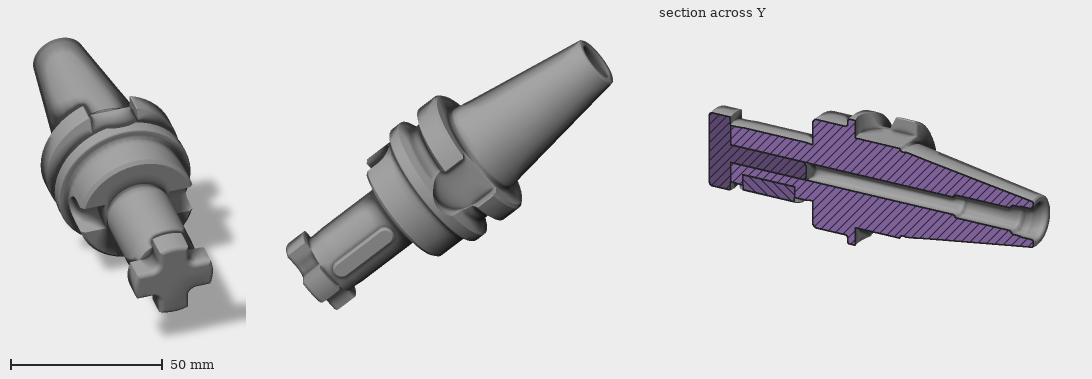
import cadquery as cq


taper_start = 0.0
taper_end = 48.6
flange_start = 50.2
groove_start = 57.9
groove_floor_start = 60.1
groove_floor_end = 63.8
groove_end = 66.0
flange_end = 70.1
collar_end = 83.4
pilot_end = 114.3
overall_length = 122.4

taper_ratio = 7 / 24
taper_large_radius = 15.9
taper_chamfer = 0.5
neck_radius = 15.7
neck_fillet = 0.6

flange_radius = 23.0
flange_chamfer = 1.0
flange_rear_fillet = 0.7
groove_floor_radius = 18.8
groove_fillet = 0.7
collar_radius = 20.1
collar_fillet = 1.0
collar_chamfer = 1.1

pilot_radius = 11.0
relief_radius = 10.8
relief_width = 0.9
relief_slope = 1.2
lead_start = 109.0
lead_end = 113.1
lead_radius = 10.8

bore_mouth_fillet = 1.0
bore_radius = 6.2
bore_depth = 4.8
thread_mouth_start = 5.6
thread_mouth_end = 8.0
thread_mouth_radius = 6.0
thread_radius = 5.0
thread_depth = 29.4

flange_slot_half_width = 8.1
flange_slot_floor = 16.4
flange_slot_end = 67.7
flange_slot_chamfer = 0.4
collar_slot_half_width = 5.0
collar_slot_floor = 10.9
collar_slot_start = 72.6

key_start = 87.6
key_length = 24.5
key_width = 6.0
key_bottom = -12.7
key_height = 6.0
key_chamfer = 0.6

screw_radius = 4.3
screw_start = 85.7
screw_tip_chamfer = 0.7
head_radius = 13.7
head_fillet = 1.5
lobe_half_width = 5.0
lobe_fillet = 2.9


def revolve_about_x(outline):
    """Turn a closed (x, radius) outline around the X axis."""
    return outline.close().revolve(360, (0, 0, 0), (1, 0, 0))


def make_arbor_blank():
    def taper_radius(x):
        return taper_large_radius - (taper_end - x) * taper_ratio / 2

    relief_end = collar_end + relief_width
    outline = (
        cq.Workplane("XY")
        .moveTo(taper_start, 0)
        .lineTo(taper_start, taper_radius(taper_start) - taper_chamfer)
        .lineTo(taper_start + taper_chamfer, taper_radius(taper_start + taper_chamfer))
        .lineTo(taper_end, taper_large_radius)
        .lineTo(taper_end, neck_radius)
        .lineTo(flange_start - neck_fillet, neck_radius)
        .radiusArc((flange_start, neck_radius + neck_fillet), -neck_fillet)
        .lineTo(flange_start, flange_radius - flange_chamfer)
        .lineTo(flange_start + flange_chamfer, flange_radius)
        .lineTo(groove_start, flange_radius)
        .lineTo(groove_floor_start, groove_floor_radius)
        .lineTo(groove_floor_end, groove_floor_radius)
        .lineTo(groove_end, flange_radius)
        .lineTo(flange_end - flange_rear_fillet, flange_radius)
        .radiusArc((flange_end, flange_radius - flange_rear_fillet), flange_rear_fillet)
        .lineTo(flange_end, collar_radius + collar_fillet)
        .radiusArc((flange_end + collar_fillet, collar_radius), -collar_fillet)
        .lineTo(collar_end - collar_chamfer, collar_radius)
        .lineTo(collar_end, collar_radius - collar_chamfer)
        .lineTo(collar_end, relief_radius)
        .lineTo(relief_end, relief_radius)
        .lineTo(relief_end + relief_slope, pilot_radius)
        .lineTo(lead_start, pilot_radius)
        .lineTo(lead_end, lead_radius)
        .lineTo(pilot_end, lead_radius)
        .lineTo(pilot_end, 0)
    )
    groove_corners = cq.selectors.BoxSelector(
        (groove_floor_start - groove_fillet, -flange_radius, -flange_radius),
        (groove_floor_end + groove_fillet, flange_radius, flange_radius),
    )
    return revolve_about_x(outline).edges(groove_corners).edges("%CIRCLE").fillet(groove_fillet)


def make_bore():
    """Draw-bar bore with a rounded mouth and thread core, then the screw hole to the pilot end."""
    outline = (
        cq.Workplane("XY")
        .moveTo(taper_start, 0)
        .lineTo(taper_start, bore_radius + bore_mouth_fillet)
        .radiusArc((taper_start + bore_mouth_fillet, bore_radius), -bore_mouth_fillet)
        .lineTo(bore_depth, bore_radius)
        .lineTo(thread_mouth_start, thread_mouth_radius)
        .lineTo(thread_mouth_end, thread_mouth_radius)
        .lineTo(thread_mouth_end + thread_mouth_radius - thread_radius, thread_radius)
        .lineTo(thread_depth, thread_radius)
        .lineTo(thread_depth + thread_radius - screw_radius, screw_radius)
        .lineTo(pilot_end, screw_radius)
        .lineTo(pilot_end, 0)
    )
    return revolve_about_x(outline)


def make_flange_slot():
    """Round-ended slot above the axis, open to the taper side, widened by a chamfer at the flange face."""
    depth = flange_radius - flange_slot_floor
    arc_centre = flange_slot_end - flange_slot_half_width
    slot = (
        cq.Workplane("XY", origin=(0, 0, flange_slot_floor))
        .moveTo(flange_start, -flange_slot_half_width)
        .lineTo(arc_centre, -flange_slot_half_width)
        .threePointArc((flange_slot_end, 0), (arc_centre, flange_slot_half_width))
        .lineTo(flange_start, flange_slot_half_width)
        .close()
        .extrude(depth)
    )
    wide = flange_slot_half_width + flange_slot_chamfer
    mouth = (
        cq.Workplane("YZ", origin=(flange_start, 0, 0))
        .moveTo(0, flange_radius)
        .rect(2 * wide, 2 * (depth + flange_slot_chamfer))
        .workplane(offset=flange_slot_chamfer)
        .moveTo(0, flange_radius)
        .rect(2 * flange_slot_half_width, 2 * depth)
        .loft(ruled=True)
    )
    return slot.union(mouth)


def make_collar_slot():
    """Round-ended slot on the -Y side of the collar, open to the pilot side."""
    arc_centre = collar_slot_start + collar_slot_half_width
    return (
        cq.Workplane("XZ", origin=(0, -collar_slot_floor, 0))
        .moveTo(collar_end, -collar_slot_half_width)
        .lineTo(arc_centre, -collar_slot_half_width)
        .threePointArc((collar_slot_start, 0), (arc_centre, collar_slot_half_width))
        .lineTo(collar_end, collar_slot_half_width)
        .close()
        .extrude(collar_radius - collar_slot_floor)
    )


def make_key():
    key_centre = key_start + key_length / 2
    return (
        cq.Workplane("XY", origin=(key_centre, 0, key_bottom))
        .slot2D(key_length, key_width)
        .extrude(key_height)
        .faces("<Z")
        .chamfer(key_chamfer)
    )


def make_screw():
    """Screw with a cross-shaped head: four lobes joined by concave fillets."""
    shank = (
        cq.Workplane("YZ", origin=(screw_start, 0, 0))
        .circle(screw_radius)
        .extrude(pilot_end - screw_start)
        .faces("<X")
        .chamfer(screw_tip_chamfer)
    )
    head_length = overall_length - pilot_end
    plane = cq.Workplane("YZ", origin=(pilot_end, 0, 0))
    lobe_span = 2 * head_radius
    cross = (
        plane.rect(lobe_span, 2 * lobe_half_width)
        .extrude(head_length)
        .union(plane.rect(2 * lobe_half_width, lobe_span).extrude(head_length))
    )
    inner_limit = (lobe_half_width + head_radius) / 2
    cross = cross.edges(
        cq.selectors.BoxSelector(
            (pilot_end, -inner_limit, -inner_limit),
            (overall_length, inner_limit, inner_limit),
        )
    ).edges("|X").fillet(lobe_fillet)
    head = cross.intersect(plane.circle(head_radius).extrude(head_length))
    head = head.faces(">X").edges().fillet(head_fillet)
    return shank.union(head)


def break_flange_slot_edges(arbor):
    """Chamfer the straight edges where the flange slots meet the flange rim."""
    wide = flange_slot_half_width + flange_slot_chamfer
    for low, high in ((flange_slot_floor, flange_radius), (-flange_radius, -flange_slot_floor)):
        slot_region = cq.selectors.BoxSelector(
            (flange_start + flange_chamfer, -wide, low), (groove_start, wide, high)
        )
        rim_edges = arbor.edges(slot_region).edges("|X").edges(">Z" if low > 0 else "<Z")
        arbor = rim_edges.chamfer(flange_slot_chamfer)
    return arbor


def make_arbor():
    arbor = make_arbor_blank().cut(make_bore())
    for half_turn in (0, 180):
        arbor = arbor.cut(make_flange_slot().rotate((0, 0, 0), (1, 0, 0), half_turn))
        arbor = arbor.cut(make_collar_slot().rotate((0, 0, 0), (1, 0, 0), half_turn))
    return break_flange_slot_edges(arbor).cut(make_key())


arbor = make_arbor()
key = make_key()
screw = make_screw()

result = cq.Compound.makeCompound([arbor.val(), key.val(), screw.val()])